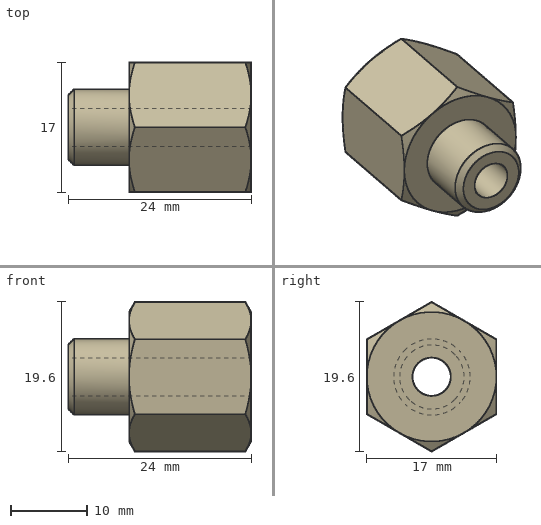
import cadquery as cq
import math

total_length = 24.0
stud_length = 8.0
stud_diameter = 10.0
stud_chamfer = 0.8
bore_diameter = 5.0
across_flats = 17.0
hex_chamfer_angle = 30.0

hex_length = total_length - stud_length
across_corners = across_flats / math.cos(math.radians(30))
corner_height = (across_corners - across_flats) / 2
hex_chamfer_length = corner_height * math.tan(math.radians(hex_chamfer_angle))


def make_stud():
    """Round stud with a chamfered free end."""
    stud = cq.Workplane("YZ").circle(stud_diameter / 2).extrude(stud_length)
    return stud.faces("<X").chamfer(stud_chamfer)


def make_chamfer_envelope():
    """Turned blank whose conical ends trim the corners of the hexagon."""
    face_radius = across_flats / 2
    corner_radius = across_corners / 2
    profile = (
        cq.Workplane("XY")
        .moveTo(stud_length, 0)
        .lineTo(stud_length, face_radius)
        .lineTo(stud_length + hex_chamfer_length, corner_radius)
        .lineTo(total_length - hex_chamfer_length, corner_radius)
        .lineTo(total_length, face_radius)
        .lineTo(total_length, 0)
        .close()
    )
    return profile.revolve(360, (0, 0, 0), (1, 0, 0))


def make_hex_body():
    """Hexagon with corners up and down along Z and flats facing Y."""
    prism = (
        cq.Workplane("YZ", origin=(stud_length, 0, 0))
        .transformed(rotate=(0, 0, 90))
        .polygon(6, across_corners)
        .extrude(hex_length)
    )
    return prism.intersect(make_chamfer_envelope())


bore = cq.Workplane("YZ").circle(bore_diameter / 2).extrude(total_length)

result = make_stud().union(make_hex_body()).cut(bore)